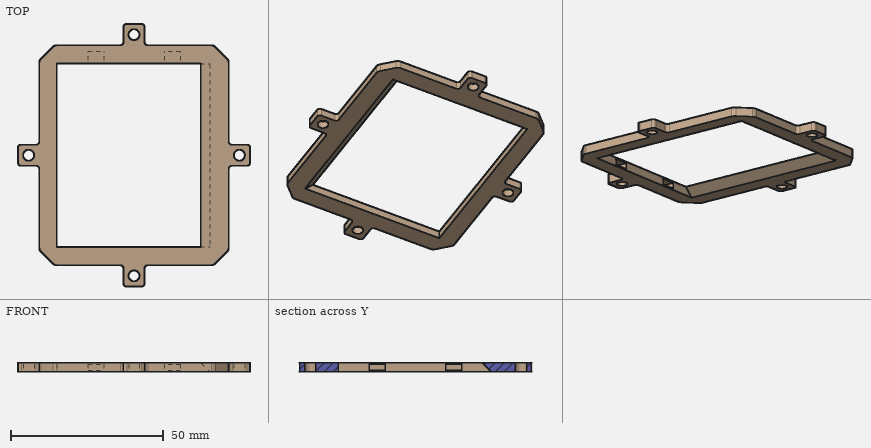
import cadquery as cq

total_x = 76.0
total_y = 86.0
thickness = 3.0
tab_length = 7.0
body_x = total_x - 2 * tab_length
body_y = total_y - 2 * tab_length
corner_chamfer = 5.0
corner_radius = 2.0

tab_width = 7.0
tab_radius = 1.0
hole_diameter = 3.5
hole_inset = 3.5

window_x = 47.0
window_y = 60.0
window_shift = -1.7
undercut = thickness

slot_width = 5.3
slot_height = 2.0
slot_depth = 4.0
slot_spacing = 25.0


def make_plate():
    """Chamfered plate with softened corners."""
    plate = cq.Workplane("XY").box(body_x, body_y, thickness)
    plate = plate.edges("|Z").chamfer(corner_chamfer)
    return plate.edges("|Z").fillet(corner_radius)


def add_tabs(plate):
    """Cross two full-length bars over the plate, then round tab corners and roots."""
    bar_x = cq.Workplane("XY").box(total_x, tab_width, thickness)
    bar_y = cq.Workplane("XY").box(tab_width, total_y, thickness)
    half_width = tab_width / 2
    corners_and_roots = cq.selectors.BoxSelector(
        (-total_x, -half_width - tab_radius / 2, -thickness),
        (total_x, half_width + tab_radius / 2, thickness),
    ) + cq.selectors.BoxSelector(
        (-half_width - tab_radius / 2, -total_y, -thickness),
        (half_width + tab_radius / 2, total_y, thickness),
    )
    joined = plate.union(bar_x).union(bar_y)
    return joined.edges("|Z").edges(corners_and_roots).fillet(tab_radius)


def make_holes():
    """Through holes in the four tabs."""
    hole_x = total_x / 2 - hole_inset
    hole_y = total_y / 2 - hole_inset
    centres = [(hole_x, 0), (-hole_x, 0), (0, hole_y), (0, -hole_y)]
    return (
        cq.Workplane("XY")
        .pushPoints(centres)
        .circle(hole_diameter / 2)
        .extrude(thickness / 2, both=True)
    )


def make_window():
    """Opening with an undercut +X wall and two slots in its +Y wall."""
    left = window_shift - window_x / 2
    right = window_shift + window_x / 2
    top = thickness / 2
    profile = [(left, -top), (right + undercut, -top), (right, top), (left, top)]
    window = cq.Workplane("XZ").polyline(profile).close().extrude(window_y / 2, both=True)
    for side in (-1, 1):
        slot_reach = window_y / 2 + slot_depth
        slot = cq.Workplane("XY").box(slot_width, slot_reach, slot_height)
        window = window.union(slot.translate((side * slot_spacing / 2, slot_reach / 2, 0)))
    return window


result = add_tabs(make_plate()).cut(make_holes()).cut(make_window())